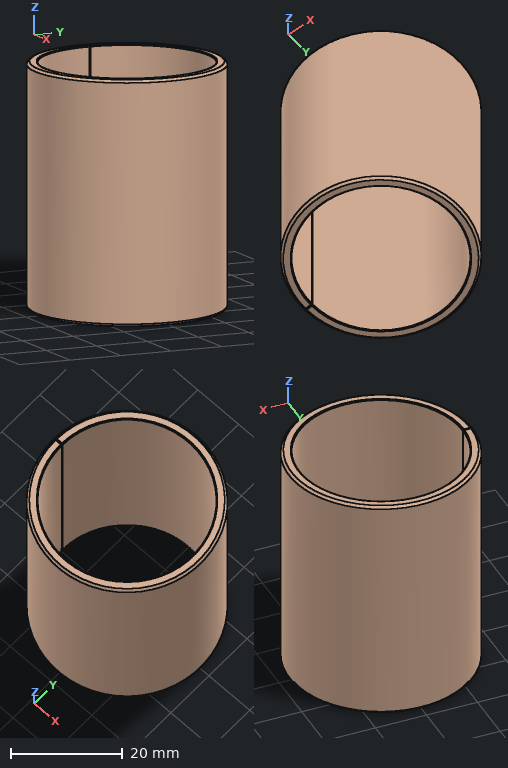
import cadquery as cq

outer_diameter = 36.0
inner_diameter = 32.0
length = 45.0
outer_chamfer = 0.5
bore_chamfer = 0.2
split_angle = 1.0

outer_radius = outer_diameter / 2
inner_radius = inner_diameter / 2


def make_wall_profile():
    """Cross-section of the wall on the -X side, chamfered at all four corners."""
    return (
        cq.Workplane("XZ")
        .moveTo(-inner_radius, bore_chamfer)
        .lineTo(-inner_radius - bore_chamfer, 0)
        .lineTo(-outer_radius + outer_chamfer, 0)
        .lineTo(-outer_radius, outer_chamfer)
        .lineTo(-outer_radius, length - outer_chamfer)
        .lineTo(-outer_radius + outer_chamfer, length)
        .lineTo(-inner_radius - bore_chamfer, length)
        .lineTo(-inner_radius, length - bore_chamfer)
        .close()
    )


result = make_wall_profile().revolve(360 - split_angle, (0, 0, 0), (0, 1, 0))